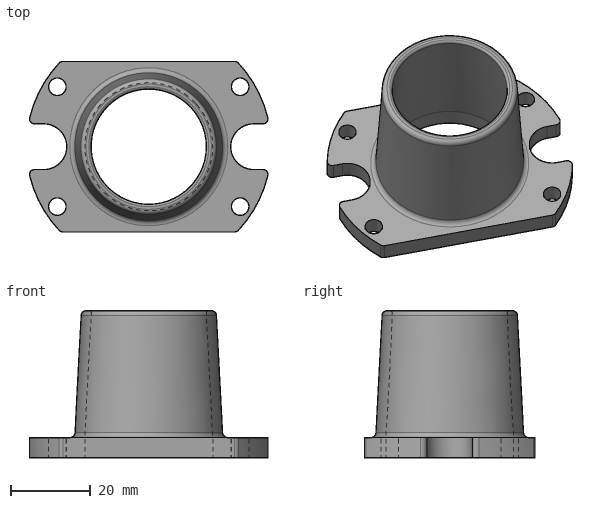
import cadquery as cq
import math

flange_thickness = 5.08
flange_width = 42.67
flange_radius = 30.67
corner_radius = 1.27
notch_radius = 5.69
notch_center_x = 26.22
notch_reach = 2 * notch_radius

hole_diameter = 4.32
hole_spacing_x = 45.72
hole_spacing_y = 29.97

total_height = 36.83
draft = math.radians(3)
bore_radius = 32.02 / 2
wall_thickness = 2.54
outer_radius = bore_radius + wall_thickness
root_fillet = 1.27
rim_outer_fillet = 1.27
rim_inner_fillet = rim_outer_fillet / 2


def tapered_core(base_radius):
    """Solid cone frustum that rises from the flange top and narrows by the draft angle."""
    height = total_height - flange_thickness
    top_radius = base_radius - height * math.tan(draft)
    base_center = cq.Vector(0, 0, flange_thickness)
    return cq.Workplane(cq.Solid.makeCone(base_radius, top_radius, height, base_center))


def is_on_rim(edge):
    """True for an edge whose middle lies on the round rim of the flange."""
    middle = edge.Center()
    return math.isclose(math.hypot(middle.x, middle.y), flange_radius, rel_tol=1e-6)


def make_flange():
    """Disc with two flats, an open notch at each end and rounded corners."""
    plate = cq.Workplane("XY").circle(flange_radius).extrude(flange_thickness)
    flats = cq.Workplane("XY").rect(2 * flange_radius, flange_width).extrude(flange_thickness)
    plate = plate.intersect(flats)
    for side in (-1, 1):
        notch = (
            cq.Workplane("XY")
            .center(side * (notch_center_x + notch_reach / 2), 0)
            .slot2D(notch_reach + 2 * notch_radius, 2 * notch_radius)
            .extrude(flange_thickness)
        )
        plate = plate.cut(notch)
    corners = plate.edges("|Z").filter(is_on_rim)
    return corners.fillet(corner_radius)


def drill_mounting_holes(body):
    """Four through holes in a rectangle."""
    holes = (
        cq.Workplane("XY")
        .rect(hole_spacing_x, hole_spacing_y, forConstruction=True)
        .vertices()
        .circle(hole_diameter / 2)
        .extrude(flange_thickness)
    )
    return body.cut(holes)


def add_tube(body):
    """Tapered tube blank with a rounded rim and a fillet at its root."""
    tube = tapered_core(outer_radius)
    tube = tube.faces(">Z").edges().fillet(rim_outer_fillet)
    root = cq.selectors.NearestToPointSelector((0, 0, flange_thickness))
    return body.union(tube).edges(root).fillet(root_fillet)


def cut_bore(body):
    """Through bore: a cylinder in the flange, then tapered up to the rounded rim."""
    straight_bore = cq.Workplane("XY").circle(bore_radius).extrude(flange_thickness)
    bore = straight_bore.union(tapered_core(bore_radius))
    rim_inner_edge = cq.selectors.RadiusNthSelector(0)
    return body.cut(bore).faces(">Z").edges(rim_inner_edge).fillet(rim_inner_fillet)


result = make_flange()
result = add_tube(result)
result = cut_bore(result)
result = drill_mounting_holes(result)